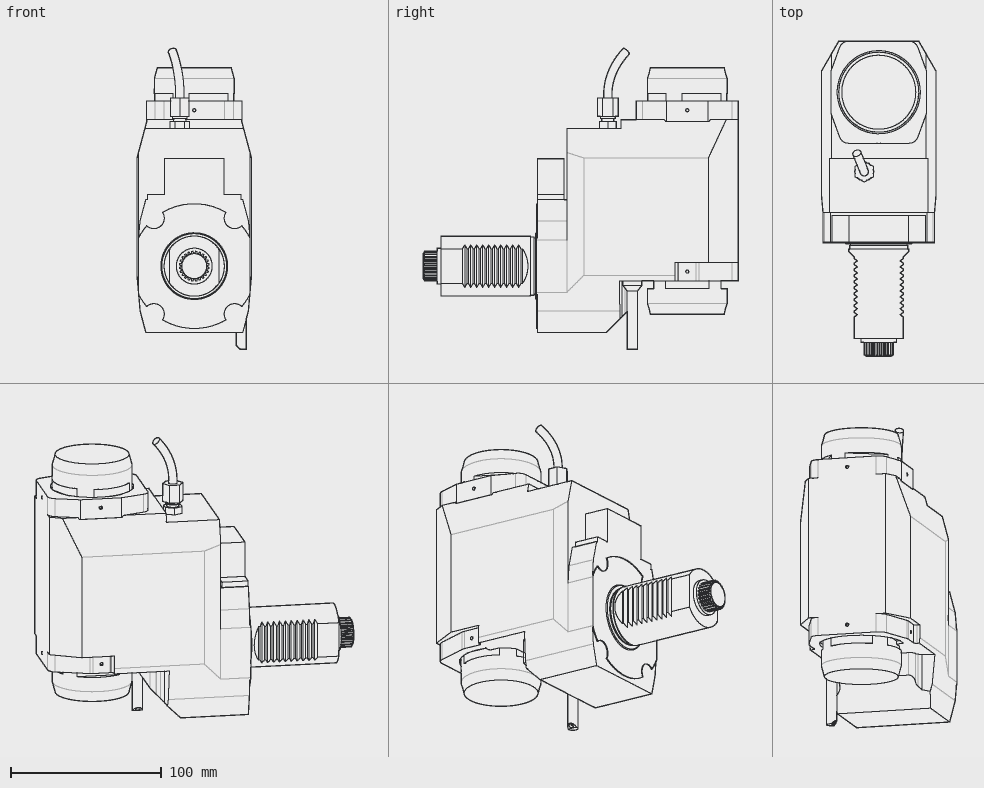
import cadquery as cq
import math


steep = math.tan(math.radians(15))
shallow = math.tan(math.radians(5))
rear_taper = math.tan(math.radians(30))
overlap = 1.0

half_width = 38.0
rear_y = 134.0
rear_chamfer = 19.9
top_z, step_z, step_y = 97.2, 91.3, 56.0
side_top_z, side_bottom_z = 71.7, -6.0
belly_z = -9.8
front_taper_y, body_front_y = 31.5, 20.3
foot_rear_y, foot_bevel_y = 65.5, 46.5
foot_corner_y = 55.0
foot_chamfer_x, foot_chamfer_y, foot_chamfer = 29.3, 56.8, 2.0
foot_bend_radius = 3.5

flange_face_y = 0.6
flange_half_height = 44.0
flange_kink_z = 29.9
shoulder_half_width, shoulder_z = 31.1, 47.7
key_half_width, key_top_z = 19.6, 71.3
key_rear_y = 18.4
disc_radius = 41.4
relief_radius, relief_x, relief_z = 7.0, 26.8, 31.8

spindle_y = 100.1
plate_top_z, plate_thickness = 109.5, 12.3
plate_half_length, plate_corner_x = 33.9, 24.5
plate_slant = math.tan(math.radians(20))
upper_plate_half_width, lower_plate_half_width = 31.8, 34.3
upper_plate_depth = 13.5
plate_fillet = 6.3
pin_hole_diameter, pin_hole_depth = 2.05, 2.0
notch_y, notch_fillet = 92.0, 1.9
cap_diameter, cap_top_diameter = 53.0, 49.1
cap_edge_height, cap_height = 14.8, 22.2
cap_groove_diameter, cap_groove_depth = 55.2, 2.0
wrench_flat_distance, wrench_flat_height = 22.4, 5.0
upper_cap_angle, lower_cap_angle = 25, 0

shank_diameter, shank_neck_diameter = 40.0, 38.7
neck_end_y, shank_end_y = -4.0, -63.3
relief_groove_y, relief_groove_diameter = -1.5, 37.6
seal_diameter, seal_top_diameter, seal_height = 44.3, 43.0, 0.6
shank_half_flat, flat_start_y = 16.3, -9.2
groove_depth, groove_width = 2.0, 3.0
groove_count, groove_pitch, first_groove_y = 10, 4.0, -11.7
collar_diameter, collar_end_y = 23.8, -65.8
spline_diameter, spline_root_diameter, spline_tip_diameter = 19.9, 17.3, 16.5
spline_end_y, spline_chamfer = -75.0, 1.0
spline_teeth = 24
spline_base_share, spline_tip_share = 0.6, 0.3

fitting_x, fitting_y = -9.6, 47.5
base_hex_diameter, base_hex_top_z = 13.0, 96.0
neck_diameter, neck_top_z = 8.2, 97.8
washer_diameter, nut_bottom_z = 9.8, 99.3
nut_hex_diameter, nut_top_z = 13.8, 111.6
hose_diameter, hose_straight_z = 5.6, 115.0
hose_reach, hose_end_z = 13.2, 142.5
hose_end_angle = 45
hose_heading = 22
nozzle_x, nozzle_y, nozzle_end_z = 31.1, 63.7, -55.2
nozzle_diameter, nozzle_bevel = 7.0, 2.7
jet_diameter, jet_depth = 3.0, 2.5
socket_diameter, socket_rim_z, socket_tip_z = 12.5, -13.0, -16.5

top_half_width = half_width - (top_z - side_top_z) * steep
rear_half_width = half_width - rear_chamfer * rear_taper
flange_half_width = half_width - (front_taper_y - body_front_y) * shallow
kink_half_width = half_width - (flange_kink_z + side_bottom_z) * shallow
end_half_width = kink_half_width - (flange_half_height - flange_kink_z) * steep
flange_straight_z = flange_kink_z - (flange_half_width - kink_half_width) / shallow
mirror_z = (plate_top_z + belly_z) / 2


def both_sides(right_points):
    """Close an outline given by its +X half, adding the mirrored half."""
    return right_points + [(-x, v) for x, v in reversed(right_points)]


def along_y(points, y_from, y_to):
    """Prism of an XZ outline between two Y planes."""
    outline = cq.Workplane("XZ", origin=(0, y_from, 0)).polyline(points).close()
    return outline.extrude(y_from - y_to)


def along_z(points, z_from, z_to):
    """Prism of an XY outline between two Z planes."""
    outline = cq.Workplane("XY", origin=(0, 0, z_from)).polyline(points).close()
    return outline.extrude(z_to - z_from)


def y_cylinder(diameter, y_from, y_to):
    return cq.Workplane("XZ", origin=(0, y_from, 0)).circle(diameter / 2).extrude(y_from - y_to)


def z_cylinder(diameter, x, y, z_from, z_to):
    return cq.Workplane("XY", origin=(x, y, z_from)).circle(diameter / 2).extrude(z_to - z_from)


def z_hexagon(diameter, z_from, z_to, turn):
    hexagon = cq.Workplane("XY").polygon(6, diameter).extrude(z_to - z_from)
    return hexagon.rotate((0, 0, 0), (0, 0, 1), turn).translate((fitting_x, fitting_y, z_from))


def make_housing():
    """Common volume of the front, plan and side outlines."""
    front = both_sides([
        (end_half_width, -flange_half_height),
        (kink_half_width, -flange_kink_z),
        (half_width, side_bottom_z),
        (half_width, side_top_z),
        (top_half_width, top_z),
    ])
    plan = both_sides([
        (flange_half_width, body_front_y),
        (half_width, front_taper_y),
        (half_width, rear_y - rear_chamfer),
        (rear_half_width, rear_y),
    ])
    side = [
        (body_front_y, step_z),
        (step_y, step_z),
        (step_y, top_z),
        (rear_y, top_z),
        (rear_y, belly_z),
        (foot_rear_y, belly_z),
        (foot_rear_y, foot_rear_y - foot_bevel_y - flange_half_height),
        (foot_bevel_y, -flange_half_height),
        (body_front_y, -flange_half_height),
    ]
    housing = along_y(front, body_front_y, rear_y)
    housing = housing.intersect(along_z(plan, -flange_half_height, top_z))
    side_prism = cq.Workplane("YZ").polyline(side).close().extrude(half_width, both=True)
    housing = housing.intersect(side_prism)

    bend_start = (foot_chamfer_x - foot_chamfer, foot_chamfer_y + foot_chamfer)
    inner_bend = foot_bend_radius * (1 - math.sqrt(0.5))
    wall_x = bend_start[0] - inner_bend
    wall_y = bend_start[1] + foot_bend_radius * math.sqrt(0.5)
    outer_bend_y = foot_rear_y - foot_bend_radius
    corner_cut = (
        cq.Workplane("XY", origin=(0, 0, -flange_half_height))
        .moveTo(half_width, foot_corner_y)
        .lineTo(foot_chamfer_x, foot_chamfer_y)
        .lineTo(*bend_start)
        .tangentArcPoint((wall_x, wall_y), relative=False)
        .lineTo(wall_x, outer_bend_y)
        .tangentArcPoint((wall_x - foot_bend_radius, foot_rear_y), relative=False)
        .lineTo(half_width, foot_rear_y)
        .close()
        .extrude(flange_half_height + belly_z)
    )
    housing = housing.cut(corner_cut).cut(corner_cut.mirror("YZ"))

    flat_x = lower_plate_half_width
    bend = notch_fillet * (1 - math.sqrt(0.5))
    notch = (
        cq.Workplane("XY", origin=(0, 0, belly_z))
        .moveTo(half_width, notch_y)
        .lineTo(flat_x + notch_fillet, notch_y)
        .threePointArc((flat_x + bend, notch_y + bend), (flat_x, notch_y + notch_fillet))
        .lineTo(0, notch_y + notch_fillet)
        .lineTo(0, rear_y)
        .lineTo(half_width, rear_y)
        .close()
        .extrude(plate_thickness)
    )
    return housing.cut(notch).cut(notch.mirror("YZ"))


def make_flange():
    """Mounting flange with its key block and the raised locating disc."""
    lower_half = [
        (end_half_width, -flange_half_height),
        (kink_half_width, -flange_kink_z),
        (flange_half_width, -flange_straight_z),
    ]
    upper_half = [(x, -z) for x, z in reversed(lower_half)]
    outline = both_sides(lower_half + upper_half)
    flange = along_y(outline, flange_face_y, body_front_y + overlap)

    key = both_sides([
        (shoulder_half_width, flange_half_height - overlap),
        (shoulder_half_width, shoulder_z),
        (key_half_width, shoulder_z),
        (key_half_width, key_top_z),
    ])
    flange = flange.union(along_y(key, flange_face_y, key_rear_y))

    disc = y_cylinder(2 * disc_radius, 0, flange_face_y + overlap)
    disc = disc.intersect(along_y(outline, 0, flange_face_y + overlap))
    corners = [(sx * relief_x, sz * relief_z) for sx in (1, -1) for sz in (1, -1)]
    reliefs = cq.Workplane("XZ", origin=(0, flange_face_y, 0)).pushPoints(corners)
    return flange.union(disc.cut(reliefs.circle(relief_radius).extrude(flange_face_y)))


def make_cover(plate_half_width, plate_depth, cap_angle, hole_angles, rounded):
    """Plate and round cap on the spindle axis; the plate top is at Z = 0."""
    flat_half = plate_half_length - (plate_half_width - plate_corner_x) / plate_slant
    plate = along_z(both_sides([
        (plate_corner_x, -plate_half_length),
        (plate_half_width, -flat_half),
        (plate_half_width, flat_half),
        (plate_corner_x, plate_half_length),
    ]), -plate_depth, 0)
    if rounded:
        plate = plate.edges("|Z").fillet(plate_fillet)
    else:
        plate = plate.edges("|Z and (<Y or >Y)").fillet(plate_fillet)

    for angle in hole_angles:
        reach = plate_half_length if angle % 180 else plate_half_width
        hole = cq.Workplane("YZ", origin=(reach - pin_hole_depth, 0, -plate_thickness / 2))
        hole = hole.circle(pin_hole_diameter / 2).extrude(pin_hole_depth)
        plate = plate.cut(hole.rotate((0, 0, 0), (0, 0, 1), angle))

    plate = plate.cut(z_cylinder(cap_groove_diameter, 0, 0, -cap_groove_depth, 0))
    cap = (
        cq.Workplane("XZ")
        .moveTo(0, -cap_groove_depth - overlap)
        .lineTo(cap_diameter / 2, -cap_groove_depth - overlap)
        .lineTo(cap_diameter / 2, cap_edge_height)
        .lineTo(cap_top_diameter / 2, cap_height)
        .lineTo(0, cap_height)
        .close()
        .revolve(360, (0, 0, 0), (0, 1, 0))
    )
    flat_size = (cap_diameter, cap_diameter, wrench_flat_height + cap_groove_depth)
    flat_cut = cq.Workplane("XY").box(*flat_size, centered=(False, True, False))
    flat_cut = flat_cut.translate((wrench_flat_distance, 0, -cap_groove_depth))
    for quarter in range(4):
        cap = cap.cut(flat_cut.rotate((0, 0, 0), (0, 0, 1), cap_angle + 90 * quarter))
    return plate.union(cap).translate((0, spindle_y, plate_top_z))


def make_shank():
    """Round shank with toothed flats on both sides and a seal ring at its root."""
    shank = y_cylinder(shank_diameter, neck_end_y, shank_end_y)
    shank = shank.union(y_cylinder(shank_neck_diameter, relief_groove_y, neck_end_y))
    shank = shank.union(y_cylinder(relief_groove_diameter, overlap, relief_groove_y))

    outer_x = shank_diameter / 2
    rack = [
        (outer_x, flat_start_y + outer_x - shank_half_flat),
        (shank_half_flat, flat_start_y),
    ]
    for groove in range(groove_count):
        groove_y = first_groove_y - groove * groove_pitch
        rack.append((shank_half_flat, groove_y + groove_width / 2))
        rack.append((shank_half_flat - groove_depth, groove_y))
        rack.append((shank_half_flat, groove_y - groove_width / 2))
    rack.append((shank_half_flat, shank_end_y))
    rack.append((outer_x, shank_end_y))
    rack_cut = along_z(rack, -outer_x, outer_x)
    shank = shank.cut(rack_cut).cut(rack_cut.mirror("YZ"))

    seal = (
        cq.Workplane("XY")
        .moveTo(0, overlap)
        .lineTo(seal_diameter / 2, overlap)
        .lineTo(seal_diameter / 2, 0)
        .lineTo(seal_top_diameter / 2, -seal_height)
        .lineTo(0, -seal_height)
        .close()
        .revolve(360, (0, 0, 0), (0, 1, 0))
    )
    return shank.union(seal)


def make_spline():
    """Collar and splined drive end."""
    collar = y_cylinder(collar_diameter, shank_end_y + overlap, collar_end_y)
    step = 2 * math.pi / spline_teeth
    outline = []
    for tooth in range(spline_teeth):
        for offset, diameter in (
            (-spline_base_share / 2, spline_root_diameter),
            (-spline_tip_share / 2, spline_diameter),
            (spline_tip_share / 2, spline_diameter),
            (spline_base_share / 2, spline_root_diameter),
        ):
            angle = (tooth + 1 / 2 + offset) * step
            outline.append((diameter / 2 * math.cos(angle), diameter / 2 * math.sin(angle)))
    spline = along_y(outline, collar_end_y + overlap, spline_end_y)
    envelope = (
        cq.Workplane("XY")
        .moveTo(0, shank_end_y)
        .lineTo(spline_diameter / 2, shank_end_y)
        .lineTo(spline_diameter / 2, spline_end_y + spline_chamfer)
        .lineTo(spline_tip_diameter / 2, spline_end_y)
        .lineTo(0, spline_end_y)
        .close()
        .revolve(360, (0, 0, 0), (0, 1, 0))
    )
    return collar.union(spline.intersect(envelope))


def make_fitting():
    """Screwed hose fitting with a bent hose, on the lower step of the housing top."""
    fitting = z_hexagon(base_hex_diameter, step_z - overlap, base_hex_top_z, 0)
    fitting = fitting.union(z_cylinder(neck_diameter, fitting_x, fitting_y, base_hex_top_z, neck_top_z))
    fitting = fitting.union(z_cylinder(washer_diameter, fitting_x, fitting_y, neck_top_z, nut_bottom_z))
    fitting = fitting.union(z_hexagon(nut_hex_diameter, nut_bottom_z, nut_top_z, 30))

    hose_start_z = nut_top_z - overlap
    end_angle = math.radians(hose_end_angle)
    path = cq.Workplane("YZ").spline(
        [(0, hose_start_z), (0, hose_straight_z), (hose_reach, hose_end_z)],
        tangents=[(0, 1), (math.sin(end_angle), math.cos(end_angle))],
    )
    hose = cq.Workplane("XY", origin=(0, 0, hose_start_z)).circle(hose_diameter / 2).sweep(path)
    hose = hose.rotate((0, 0, 0), (0, 0, 1), hose_heading)
    return fitting.union(hose.translate((fitting_x, fitting_y, 0)))


def make_nozzle():
    """Downward coolant tube with a conical socket and an outlet in its bevelled end."""
    tube_radius = nozzle_diameter / 2
    socket_top_z = belly_z + overlap
    nozzle = (
        cq.Workplane("XZ")
        .moveTo(0, socket_top_z)
        .lineTo(socket_diameter / 2, socket_top_z)
        .lineTo(socket_diameter / 2, socket_rim_z)
        .lineTo(tube_radius, socket_tip_z)
        .lineTo(tube_radius, nozzle_end_z)
        .lineTo(0, nozzle_end_z)
        .close()
        .revolve(360, (0, 0, 0), (0, 1, 0))
    )
    bevel = [
        (-tube_radius, nozzle_end_z),
        (-tube_radius + nozzle_bevel, nozzle_end_z),
        (-tube_radius, nozzle_end_z + nozzle_bevel),
    ]
    nozzle = nozzle.cut(along_y(bevel, -tube_radius, tube_radius))

    bevel_middle = (-tube_radius + nozzle_bevel / 2, 0, nozzle_end_z + nozzle_bevel / 2)
    bevel_plane = cq.Plane(origin=bevel_middle, xDir=(0, 1, 0), normal=(-1, 0, -1))
    jet = cq.Workplane(bevel_plane).circle(jet_diameter / 2).extrude(-jet_depth)
    nozzle = nozzle.cut(jet)
    return nozzle.translate((nozzle_x, nozzle_y, 0))


upper_cover = make_cover(
    upper_plate_half_width, upper_plate_depth, upper_cap_angle, (0, 90, 180, 270), False
)
lower_cover = make_cover(
    lower_plate_half_width, plate_thickness, lower_cap_angle, (0, 90, 180), True
).mirror("XY", (0, 0, mirror_z))

result = make_housing()
for piece in (
    make_flange(),
    upper_cover,
    lower_cover,
    make_shank(),
    make_spline(),
    make_fitting(),
    make_nozzle(),
):
    result = result.union(piece)